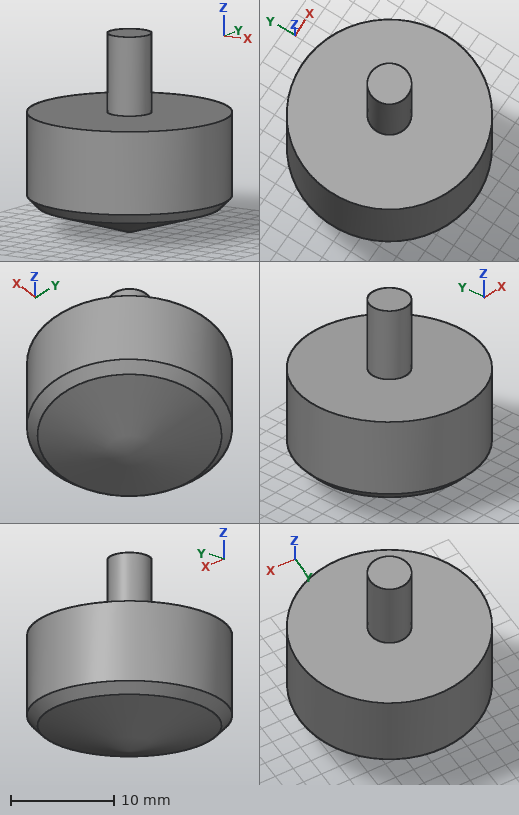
import cadquery as cq

body_diameter = 19.9
pin_diameter = 4.3
total_height = 19.7
pin_length = 7.8
bevel_size = 1.03
tip_height = 2.67

body_radius = body_diameter / 2
pin_radius = pin_diameter / 2
bevel_bottom = tip_height
bevel_top = bevel_bottom + bevel_size
body_top = total_height - pin_length

profile = (
    cq.Workplane("XZ")
    .moveTo(0, 0)
    .lineTo(body_radius - bevel_size, bevel_bottom)
    .lineTo(body_radius, bevel_top)
    .lineTo(body_radius, body_top)
    .lineTo(pin_radius, body_top)
    .lineTo(pin_radius, total_height)
    .lineTo(0, total_height)
    .close()
)

result = profile.revolve(360, (0, 0, 0), (0, 1, 0))